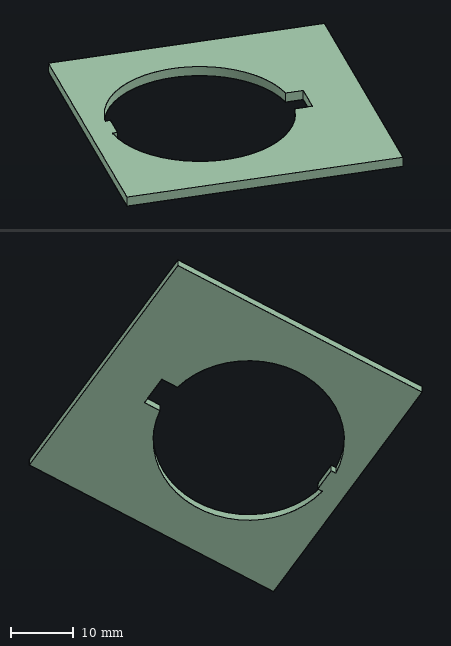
import cadquery as cq

plate_width = 44.8
plate_length = 45.75
plate_thickness = 1.7

hole_diameter = 30.4
hole_center_y = -4.3

slot_width = 5.2
slot_top_from_hole_center = 17.9
tab_width = 4.05
tab_top_from_hole_center = 14.2

hole_radius = hole_diameter / 2


def block(width, y_start, y_end):
    """Full-thickness block centered on X = 0, spanning y_start to y_end."""
    return (
        cq.Workplane("XY")
        .center(0, (y_start + y_end) / 2)
        .rect(width, y_end - y_start)
        .extrude(plate_thickness)
    )


def keyed_hole():
    """Round hole with the slot added and the tab left standing."""
    bore = (
        cq.Workplane("XY")
        .center(0, hole_center_y)
        .circle(hole_radius)
        .extrude(plate_thickness)
    )
    slot = block(slot_width, hole_center_y, hole_center_y + slot_top_from_hole_center)
    tab = block(tab_width, hole_center_y - hole_radius, hole_center_y - tab_top_from_hole_center)
    return bore.union(slot).cut(tab)


plate = block(plate_width, -plate_length / 2, plate_length / 2)
result = plate.cut(keyed_hole())